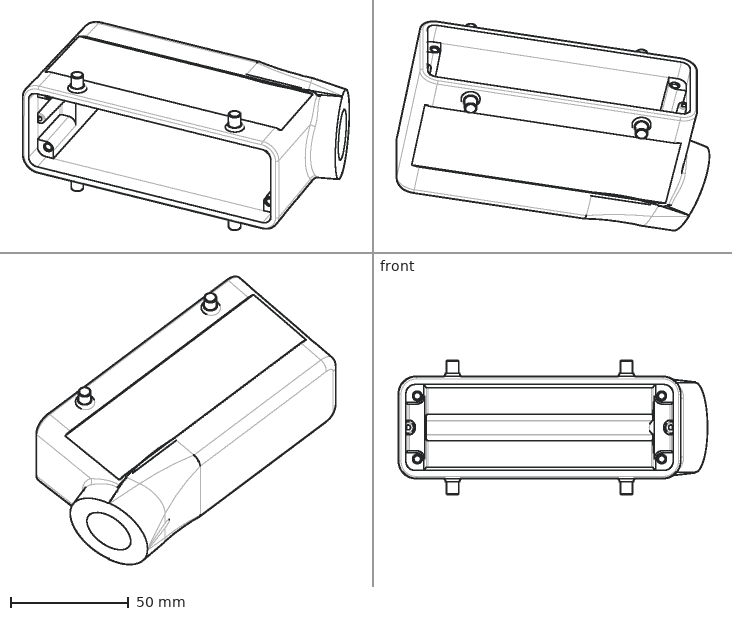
import cadquery as cq
import math


overall_length = 131.3
overall_depth = 70.0

mouth_length = 119.9
mouth_height = 43.5
back_length = 118.0
back_height = 41.4
shell_depth = 62.5
corner_radius = 7.5
back_edge_radius = 4.0
rim_radius = 1.0

panel_front_y = 13.5
panel_back_y = 46.4
panel_recess = 0.7

spout_angle = 16.0
spout_radius = 19.0
spout_length = 18.4
bore_radius = 10.8
bore_length = 31.5
neck_radius = 2.1

shoulder_start_x = 22.8
shoulder_bend_radius = 86.7
shoulder_overlap = 1.6
shoulder_mid_corner = 7.9
shoulder_seam_corner = 12.5
shoulder_end_half_height = 19.3
shoulder_end_corner = 18.8

opening_length = 113.5
opening_height = 36.5
opening_radius = 4.0
ledge_y = 8.9
chamber_length = 98.5
chamber_back_length = 96.1
chamber_back_height = 33.9
chamber_back_y = 59.1
chamber_edge_radius = 0.7

pocket_floor_y = 30.2
pocket_height = 21.3
pocket_draft = 2.0
pocket_edge_radius = 0.8
post_radius = 3.4

screw_x = 51.9
screw_z = 13.4
screw_hole_radius = 1.5
screw_rim_radius = 2.0
screw_depth = 15.8
boss_x = 55.8
boss_tip_radius = 2.4
boss_root_radius = 3.2
boss_tip_round = 0.4
boss_hole_radius = 1.0
boss_hole_depth = 10.5

ridge_y = 57.3
ridge_crest = 6.0
ridge_base = 11.3
ridge_crest_radius = 0.5

pin_x = 36.9
pin_y = 6.3
pin_tip_z = 28.5
pin_radius = 2.6
pin_chamfer = 0.4
collar_radius = 3.0
collar_z = 23.1
collar_root_radius = 4.5
collar_root_z = 21.5
pin_root_z = 19.7

selection_margin = 2.6

spout_slope = math.radians(spout_angle)
spout_direction = cq.Vector(math.cos(spout_slope), math.sin(spout_slope), 0)
spout_outward = cq.Vector(-math.sin(spout_slope), math.cos(spout_slope), 0)
spout_end = cq.Vector(
    overall_length - mouth_length / 2 - spout_radius * math.sin(spout_slope),
    overall_depth - spout_radius * math.cos(spout_slope),
    0,
)


def depth_plane(y):
    """Workplane across the shell at depth y, extruding towards +Y."""
    return cq.Workplane(cq.Plane(origin=(0, y, 0), xDir=(1, 0, 0), normal=(0, 1, 0)))


def drafted_block(y0, size0, y1, size1, radius=0):
    """Loft between two centred rectangles across the shell, optionally with rounded corners."""

    def outline(size):
        sketch = cq.Sketch().rect(*size)
        return sketch.vertices().fillet(radius) if radius else sketch

    front = depth_plane(y0).placeSketch(outline(size0), outline(size1).moved(cq.Location((0, 0, y1 - y0))))
    return front.loft(ruled=True)


def shell_half_height(y):
    """Distance from Z = 0 to the drafted broad sides at depth y."""
    draft = (mouth_height - back_height) / 2 / shell_depth
    return mouth_height / 2 - draft * y


def make_shell():
    """Drafted solid block with a rounded back and a softened rim."""
    shell = drafted_block(
        0, (mouth_length, mouth_height), shell_depth, (back_length, back_height), corner_radius
    )
    shell = shell.faces(">Y").edges().fillet(back_edge_radius)
    return shell.faces("<Y").edges().fillet(rim_radius)


def panel_cutters():
    """Wedges that shave a layer of even depth off both broad sides, parallel to their draft."""
    front_z = shell_half_height(panel_front_y) - panel_recess
    back_z = shell_half_height(panel_back_y) - panel_recess
    wedge = (
        cq.Workplane("YZ")
        .polyline(
            [
                (panel_front_y, front_z),
                (panel_back_y, back_z),
                (panel_back_y, mouth_height),
                (panel_front_y, mouth_height),
            ]
        )
        .close()
        .extrude(mouth_length / 2, both=True)
    )
    return wedge.union(wedge.mirror("XY"))


def shoulder_section(origin, angle, depth, base_half_height, half_height, corner):
    """Closed wire, rounded along its outer side, in a plane turned by angle about Z.

    The origin is the middle of the outer side and the section reaches depth inwards,
    where its half height is base_half_height.
    """
    turn = math.radians(angle)
    plane = cq.Plane(origin=origin, xDir=(0, 0, -1), normal=(math.cos(turn), math.sin(turn), 0))
    crest = half_height - corner
    arc_inset = corner * (1 - math.sqrt(0.5))
    return (
        cq.Workplane(plane)
        .moveTo(-base_half_height, -depth)
        .lineTo(base_half_height, -depth)
        .lineTo(half_height, -corner)
        .threePointArc((half_height - arc_inset, -arc_inset), (crest, 0))
        .lineTo(-crest, 0)
        .threePointArc((-half_height + arc_inset, -arc_inset), (-half_height, -corner))
        .close()
        .wire()
        .val()
    )


def shoulder_clearance():
    """Block that removes the plain back corner of the shell where the shoulder takes its place."""
    bottom_y = panel_back_y + shoulder_overlap
    length = mouth_length / 2 - shoulder_start_x
    return depth_plane(bottom_y).rect(length, mouth_height).extrude(shell_depth - bottom_y).translate(
        (shoulder_start_x + length / 2, 0, 0)
    )


def make_shoulder():
    """Bend that starts flush with the back and turns to the spout, then a straight run to its end."""

    def bend_point(angle):
        turn = math.radians(angle)
        return cq.Vector(
            shoulder_start_x + shoulder_bend_radius * math.sin(turn),
            shell_depth + shoulder_bend_radius * (1 - math.cos(turn)),
            0,
        )

    start_depth = shell_depth - panel_back_y
    base_half_height = shell_half_height(panel_back_y)
    side_half_height = shell_half_height(shell_depth - back_edge_radius)
    sizes = [
        (0, start_depth, back_edge_radius),
        (spout_angle / 2, (start_depth + spout_radius) / 2, shoulder_mid_corner),
        (spout_angle, spout_radius, shoulder_seam_corner),
    ]
    bend_sections = [
        shoulder_section(bend_point(angle), angle, depth, base_half_height, side_half_height, corner)
        for angle, depth, corner in sizes
    ]
    end = shoulder_section(
        spout_end + spout_outward * spout_radius,
        spout_angle,
        spout_radius,
        shoulder_end_half_height,
        shoulder_end_half_height,
        shoulder_end_corner,
    )
    bend = cq.Solid.makeLoft(bend_sections)
    run = cq.Solid.makeLoft([bend_sections[-1], end], True)
    return cq.Workplane(bend).union(cq.Workplane(run))


def spout_cylinder(radius, length):
    """Cylinder reaching into the shell from the end of the spout."""
    plane = cq.Plane(origin=spout_end, xDir=spout_outward, normal=spout_direction * -1)
    return cq.Workplane(plane).circle(radius).extrude(length)


def make_cavity():
    """Space inside the shell: open mouth, deep chamber, and a pocket at each end between the posts."""
    opening = depth_plane(0).placeSketch(
        cq.Sketch().rect(opening_length, opening_height).vertices().fillet(opening_radius)
    ).extrude(ledge_y)
    chamber = drafted_block(
        ledge_y,
        (chamber_length, opening_height),
        chamber_back_y,
        (chamber_back_length, chamber_back_height),
    )
    chamber = chamber.faces(">Y").edges("|Z").fillet(chamber_edge_radius)
    pocket = (
        depth_plane(ledge_y)
        .rect(opening_length, pocket_height)
        .extrude(pocket_floor_y - ledge_y, taper=pocket_draft)
        .faces(">Y")
        .edges("|Z")
        .fillet(pocket_edge_radius)
    )
    cavity = chamber.union(pocket)
    reach_x = chamber_length / 2 + selection_margin
    reach_z = pocket_height / 2 + selection_margin
    inner_corners = cq.selectors.BoxSelector(
        (-reach_x, ledge_y + selection_margin, -reach_z),
        (reach_x, pocket_floor_y - selection_margin, reach_z),
    )
    cavity = cavity.edges(inner_corners).fillet(post_radius)
    return cavity.union(opening).cut(make_ridge())


def make_ridge():
    """Tapered rib that runs along X down the middle of the back wall."""
    half_length = chamber_length / 2
    return (
        cq.Workplane("YZ")
        .polyline(
            [
                (ridge_y, -ridge_crest / 2),
                (ridge_y, ridge_crest / 2),
                (chamber_back_y, ridge_base / 2),
                (chamber_back_y, -ridge_base / 2),
            ]
        )
        .close()
        .extrude(half_length, both=True)
        .faces("<Y")
        .edges("|X")
        .fillet(ridge_crest_radius)
    )


def make_boss(x):
    """Conical boss with a blind hole, standing on the pocket floor against the end wall."""
    length = pocket_floor_y - ledge_y
    cone = cq.Solid.makeCone(
        boss_tip_radius, boss_root_radius, length, cq.Vector(x, ledge_y, 0), cq.Vector(0, 1, 0)
    )
    hole = depth_plane(ledge_y).center(x, 0).circle(boss_hole_radius).extrude(boss_hole_depth)
    return cq.Workplane(cone).faces("<Y").edges().fillet(boss_tip_round).cut(hole)


def make_screw_holes():
    """Blind countersunk holes, one in the front face of each corner post."""
    centres = [(x, z) for x in (-screw_x, screw_x) for z in (-screw_z, screw_z)]
    holes = depth_plane(ledge_y).pushPoints(centres).circle(screw_hole_radius).extrude(screw_depth)
    rim_depth = screw_rim_radius - screw_hole_radius
    for x, z in centres:
        rim = cq.Solid.makeCone(
            screw_rim_radius, screw_hole_radius, rim_depth, cq.Vector(x, ledge_y, z), cq.Vector(0, 1, 0)
        )
        holes = holes.union(cq.Workplane(rim))
    return holes


def make_pin(x):
    """Upper pin with a flared collar, revolved about its own Z axis."""
    flare = (collar_root_radius - collar_radius) * (1 - math.sqrt(0.5))
    flare_z = (collar_z - collar_root_z) * (1 - math.sqrt(0.5))
    return (
        cq.Workplane("XZ")
        .moveTo(0, pin_root_z)
        .lineTo(collar_root_radius, pin_root_z)
        .lineTo(collar_root_radius, collar_root_z)
        .threePointArc((collar_radius + flare, collar_root_z + flare_z), (collar_radius, collar_z))
        .lineTo(pin_radius, collar_z)
        .lineTo(pin_radius, pin_tip_z - pin_chamfer)
        .lineTo(pin_radius - pin_chamfer, pin_tip_z)
        .lineTo(0, pin_tip_z)
        .close()
        .revolve(360, (0, 0, 0), (0, 1, 0))
        .translate((x, pin_y, 0))
    )


def neck_edges():
    """Underside of the joint between spout and shell."""
    wall_x = mouth_length / 2
    return cq.selectors.BoxSelector(
        (wall_x - selection_margin, pocket_floor_y, -spout_radius), (wall_x, panel_back_y, spout_radius)
    )


body = make_shell().cut(panel_cutters()).cut(shoulder_clearance())
body = body.union(spout_cylinder(spout_radius, spout_length))
body = body.union(make_shoulder())
body = body.edges(neck_edges()).fillet(neck_radius)
for x in (-pin_x, pin_x):
    pin = make_pin(x)
    body = body.union(pin).union(pin.mirror("XY"))

body = body.cut(make_cavity())
for x in (-boss_x, boss_x):
    body = body.union(make_boss(x))
body = body.cut(make_screw_holes())
result = body.cut(spout_cylinder(bore_radius, bore_length))